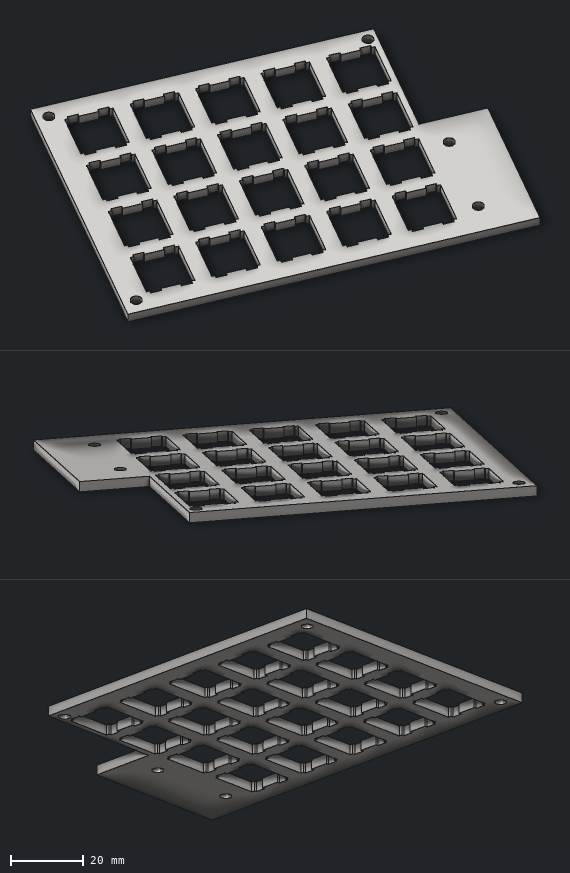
import cadquery as cq

plate_width = 85.0
plate_length = 120.0
plate_thickness = 3.0
key_field_length = 100.0
tab_left = 39.5

columns = 4
rows = 5
row_span = 76.2
key_pitch = row_span / (rows - 1)
first_column_x = 13.9
first_row_y = 14.8

cutout_size = 14.0
notch_depth = 0.8
notch_length = 3.1
notch_margin = 1.0
notched_width = cutout_size + 2 * notch_depth
notch_offset = cutout_size / 2 - notch_margin - notch_length / 2

hole_diameter = 3.2
front_hole_y = 4.0
key_field_holes = [(4.3, front_hole_y), (80.4, front_hole_y), (3.5, 97.1)]
tab_holes = [(48.8, 105.6), (75.2, 105.2)]


def make_plate():
    outline = [
        (0, 0),
        (plate_width, 0),
        (plate_width, plate_length),
        (tab_left, plate_length),
        (tab_left, key_field_length),
        (0, key_field_length),
    ]
    return cq.Workplane("XY").polyline(outline).close().extrude(plate_thickness)


def make_key_cutout():
    """Through cutter for one key, centred on the Z axis."""
    square = cq.Workplane("XY").rect(cutout_size, cutout_size).extrude(plate_thickness)
    notch_bars = (
        cq.Workplane("XY")
        .pushPoints([(0, -notch_offset), (0, notch_offset)])
        .rect(notched_width, notch_length)
        .extrude(plate_thickness)
    )
    return square.union(notch_bars)


def cut_keys(plate):
    key_cutout = make_key_cutout()
    for column in range(columns):
        for row in range(rows):
            x = first_column_x + column * key_pitch
            y = first_row_y + row * key_pitch
            plate = plate.cut(key_cutout.translate((x, y, 0)))
    return plate


def cut_screw_holes(plate):
    holes = (
        cq.Workplane("XY")
        .pushPoints(key_field_holes + tab_holes)
        .circle(hole_diameter / 2)
        .extrude(plate_thickness)
    )
    return plate.cut(holes)


result = cut_screw_holes(cut_keys(make_plate()))